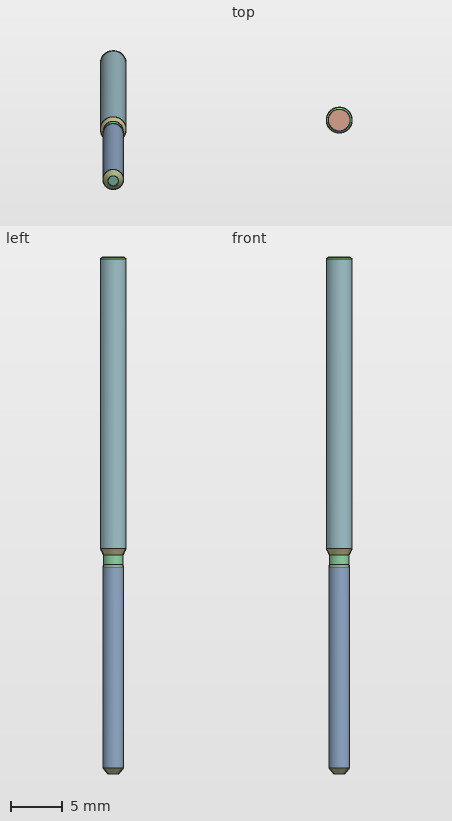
import cadquery as cq

total_length = 50.0
joint_height = 20.25

barrel_radius = 1.25
barrel_top_chamfer = 0.2
neck_radius = 0.95
neck_top_height = 21.2
taper_length = 0.6
taper_top_height = neck_top_height + taper_length

plunger_radius = 1.0
shoulder_height = 20.0
tip_radius = 0.5
tip_length = 0.6


def revolve_outline(points):
    """Turn a closed (radius, height) outline into a solid around the Z axis."""
    return cq.Workplane("XZ").polyline(points).close().revolve(360, (0, 0), (0, 1))


def make_barrel():
    """Cylinder with a chamfered top, a tapered lower end and a neck."""
    return revolve_outline([
        (0, joint_height),
        (neck_radius, joint_height),
        (neck_radius, neck_top_height),
        (barrel_radius, taper_top_height),
        (barrel_radius, total_length - barrel_top_chamfer),
        (barrel_radius - barrel_top_chamfer, total_length),
        (0, total_length),
    ])


def make_plunger():
    """Rod with a blunt conical tip and an upper end bevelled to the neck radius."""
    return revolve_outline([
        (0, 0),
        (tip_radius, 0),
        (plunger_radius, tip_length),
        (plunger_radius, shoulder_height),
        (neck_radius, joint_height),
        (0, joint_height),
    ])


barrel = make_barrel()
plunger = make_plunger()

result = cq.Compound.makeCompound([barrel.val(), plunger.val()])